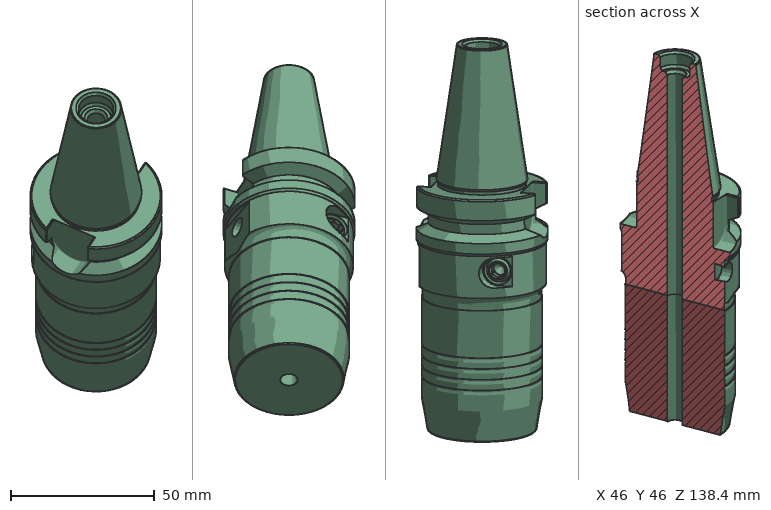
import cadquery as cq
import math

total_height = 138.4

gauge_z = 90.0
gauge_radius = 15.9
taper_slope = 7 / 48
taper_edge_chamfer = 0.3
neck_radius = 15.5
neck_top_z = 89.1

flange_radius = 23.0
flange_top_z = 88.0
flange_edge_chamfer = 0.5
flange_bottom_z = 67.7
lower_chamfer_height = 1.0
groove_mid_z = 76.5
groove_core_radius = 19.0
groove_core_height = 3.6
groove_flank_angle = 30.0
groove_flank_height = (flange_radius - groove_core_radius) * math.tan(math.radians(groove_flank_angle))

body_radius = 22.4
body_bottom_z = 52.6
collar_radius = 20.8
fillet_bottom_z = 50.0
sleeve_top_z = 47.7

through_radius = 3.0
mouth_radius = 6.9
mouth_depth = 0.8
counterbore_radius = 6.1
counterbore_depth = 4.8
seat_radius = 5.3
seat_depth = 5.8
inlet_radius = 4.0
inlet_depth = 6.9

slot_half_width = 8.0
slot_floor_y = 16.2
slot_bottom_z = 70.5
slot_floor_fillet = 0.4
slot_edge_chamfer = 0.4

key_z = 61.6
key_y = -10.0
pocket_radius = 5.4
pocket_floor_x = -16.5
screw_radius = 4.3
screw_length = 11.1
screw_chamfer = 1.0
seat_entry_radius = 5.0
hex_flats = 4.7
hex_turn = 30.0
hex_depth = 3.5
hex_mouth_radius = 3.0
flat_angle = 96.0
flat_distance = collar_radius
flat_top_z = 67.0
flat_hole_radius = 3.5
flat_hole_depth = 4.2

sleeve_radius = 21.0
nose_top_z = 11.6
nose_radius = 19.1
nose_edge_chamfer = 0.4
grip_count = 4
grip_pitch = 3.9
grip_top_z = 30.7
grip_floor_height = 0.7
grip_height = 1.7
grip_depth = 0.3


def revolve_profile(profile):
    """Turn a closed (radius, height) outline around the Z axis."""
    return profile.close().revolve(360, (0, 0, 0), (0, 1, 0))


def holder_blank():
    """Taper, neck, V-grooved flange and body as one turned blank."""
    taper_end_radius = gauge_radius - taper_slope * (total_height - gauge_z)
    upper_core_z = groove_mid_z + groove_core_height / 2
    lower_core_z = groove_mid_z - groove_core_height / 2
    fillet_width = body_radius - collar_radius
    fillet_height = body_bottom_z - fillet_bottom_z
    fillet_radius = (fillet_width**2 + fillet_height**2) / (2 * fillet_width)
    half_sweep = math.asin(fillet_height / fillet_radius) / 2
    fillet_mid = (
        collar_radius + fillet_radius * (1 - math.cos(half_sweep)),
        fillet_bottom_z + fillet_radius * math.sin(half_sweep),
    )
    profile = (
        cq.Workplane("XZ")
        .moveTo(0, sleeve_top_z)
        .lineTo(collar_radius, sleeve_top_z)
        .lineTo(collar_radius, fillet_bottom_z)
        .threePointArc(fillet_mid, (body_radius, body_bottom_z))
        .lineTo(body_radius, flange_bottom_z)
        .lineTo(flange_radius, flange_bottom_z + lower_chamfer_height)
        .lineTo(flange_radius, lower_core_z - groove_flank_height)
        .lineTo(groove_core_radius, lower_core_z)
        .lineTo(groove_core_radius, upper_core_z)
        .lineTo(flange_radius, upper_core_z + groove_flank_height)
        .lineTo(flange_radius, flange_top_z - flange_edge_chamfer)
        .lineTo(flange_radius - flange_edge_chamfer, flange_top_z)
        .lineTo(neck_radius, flange_top_z)
        .lineTo(neck_radius, neck_top_z)
        .lineTo(gauge_radius, gauge_z)
        .lineTo(taper_end_radius, total_height - taper_edge_chamfer)
        .lineTo(taper_end_radius - taper_edge_chamfer, total_height)
        .lineTo(0, total_height)
    )
    return revolve_profile(profile)


def axial_bore():
    """Stepped bore, open from the taper end down through the holder."""
    profile = (
        cq.Workplane("XZ")
        .moveTo(0, sleeve_top_z)
        .lineTo(through_radius, sleeve_top_z)
        .lineTo(through_radius, total_height - inlet_depth)
        .lineTo(inlet_radius, total_height - seat_depth)
        .lineTo(seat_radius, total_height - seat_depth)
        .lineTo(counterbore_radius, total_height - counterbore_depth)
        .lineTo(counterbore_radius, total_height - mouth_depth)
        .lineTo(mouth_radius, total_height)
        .lineTo(0, total_height)
    )
    return revolve_profile(profile)


def drive_slot():
    """U-shaped slot on the -Y side, rounded along the edge of its flat floor."""
    arc_z = slot_bottom_z + slot_half_width
    slot_top_z = flange_top_z + 2 * slot_floor_fillet
    return (
        cq.Workplane("XZ", origin=(0, -slot_floor_y, 0))
        .moveTo(-slot_half_width, slot_top_z)
        .lineTo(-slot_half_width, arc_z)
        .threePointArc((0, slot_bottom_z), (slot_half_width, arc_z))
        .lineTo(slot_half_width, slot_top_z)
        .close()
        .extrude(flange_radius)
        .edges(">Y and (not >Z)")
        .fillet(slot_floor_fillet)
    )


def slot_edge_bevel():
    """Wedge that bevels the top edges of a drive slot on the -Y side."""
    top_half_width = slot_half_width + slot_edge_chamfer
    return (
        cq.Workplane("XZ", origin=(0, -slot_floor_y, 0))
        .moveTo(-slot_half_width, flange_top_z - slot_edge_chamfer)
        .lineTo(-top_half_width, flange_top_z)
        .lineTo(top_half_width, flange_top_z)
        .lineTo(slot_half_width, flange_top_z - slot_edge_chamfer)
        .close()
        .extrude(flange_radius)
    )


def slot_corner_bevel():
    """Wedge that bevels the upright rim corners of a drive slot on the -Y side."""
    rim_half_width = slot_half_width + slot_edge_chamfer
    rim_y = -math.sqrt(flange_radius**2 - rim_half_width**2)
    return (
        cq.Workplane("XY", origin=(0, 0, groove_mid_z))
        .moveTo(-slot_half_width, rim_y + slot_edge_chamfer)
        .lineTo(-rim_half_width, rim_y)
        .lineTo(-rim_half_width, -flange_radius)
        .lineTo(rim_half_width, -flange_radius)
        .lineTo(rim_half_width, rim_y)
        .lineTo(slot_half_width, rim_y + slot_edge_chamfer)
        .close()
        .extrude(flange_top_z - groove_mid_z)
    )


def key_pocket():
    """Pocket from the -X side with a round inner end, open toward -Y."""
    depth = body_radius + pocket_floor_x
    plane = cq.Workplane("YZ", origin=(-body_radius, 0, 0))
    round_end = plane.center(key_y, key_z).circle(pocket_radius).extrude(depth)
    open_end = (
        plane.center(key_y - pocket_radius, key_z)
        .rect(2 * pocket_radius, 2 * pocket_radius)
        .extrude(depth)
    )
    return round_end.union(open_end)


def key_axis_turning(points):
    """Turn a closed outline of (X, radius) points around the key axis."""
    return (
        cq.Workplane("XY", origin=(0, key_y, key_z))
        .polyline(points)
        .close()
        .revolve(360, (0, 0, 0), (1, 0, 0))
    )


def screw_bore():
    """Blind bore for the key screw with a tapered mouth in the pocket floor."""
    mouth_end_x = pocket_floor_x + screw_chamfer
    end_x = pocket_floor_x + screw_length
    return key_axis_turning([
        (pocket_floor_x, 0),
        (pocket_floor_x, seat_entry_radius),
        (mouth_end_x, screw_radius),
        (end_x, screw_radius),
        (end_x, 0),
    ])


def balancing_flat():
    """Flat on the body with a blind radial hole at the key height."""
    height = flat_top_z - fillet_bottom_z
    depth = body_radius - flat_distance
    slab = (
        cq.Workplane("XY", origin=(0, 0, fillet_bottom_z))
        .center(flat_distance + depth / 2, 0)
        .rect(depth, 2 * body_radius)
        .extrude(height)
    )
    hole = (
        cq.Workplane("YZ", origin=(flat_distance - flat_hole_depth, 0, key_z))
        .circle(flat_hole_radius)
        .extrude(flat_hole_depth)
    )
    return slab.union(hole).rotate((0, 0, 0), (0, 0, 1), flat_angle)


def make_holder():
    holder = holder_blank().cut(axial_bore())
    for angle in (0, 180):
        for cutter in (drive_slot(), slot_edge_bevel(), slot_corner_bevel()):
            holder = holder.cut(cutter.rotate((0, 0, 0), (0, 0, 1), angle))
    return holder.cut(key_pocket()).cut(screw_bore()).cut(balancing_flat())


def make_key_screw():
    """Chamfered screw with a countersunk hex socket, filling the screw bore."""
    end_x = pocket_floor_x + screw_length
    shank = key_axis_turning([
        (pocket_floor_x, 0),
        (pocket_floor_x, screw_radius - screw_chamfer),
        (pocket_floor_x + screw_chamfer, screw_radius),
        (end_x, screw_radius),
        (end_x, 0),
    ])
    hex_corner_radius = hex_flats / math.sqrt(3)
    socket = (
        cq.Workplane("YZ", origin=(pocket_floor_x, key_y, key_z))
        .polygon(6, 2 * hex_corner_radius)
        .extrude(hex_depth)
        .rotate((0, key_y, key_z), (1, key_y, key_z), hex_turn)
    )
    countersink = key_axis_turning([
        (pocket_floor_x, 0),
        (pocket_floor_x, hex_mouth_radius),
        (pocket_floor_x + hex_mouth_radius, 0),
    ])
    drill_point = key_axis_turning([
        (pocket_floor_x + hex_depth, 0),
        (pocket_floor_x + hex_depth, hex_flats / 2),
        (pocket_floor_x + hex_depth + hex_flats / 2, 0),
    ])
    return shank.cut(socket).cut(countersink).cut(drill_point)


def grip_groove(top_z):
    """Ring groove with a square upper shoulder and a sloping lower side."""
    floor_radius = sleeve_radius - grip_depth
    profile = (
        cq.Workplane("XZ")
        .moveTo(sleeve_radius, top_z)
        .lineTo(floor_radius, top_z)
        .lineTo(floor_radius, top_z - grip_floor_height)
        .lineTo(sleeve_radius, top_z - grip_height)
    )
    return revolve_profile(profile)


def make_sleeve():
    """Gripping sleeve with a tapered nose, butted against the holder."""
    profile = (
        cq.Workplane("XZ")
        .moveTo(through_radius, 0)
        .lineTo(nose_radius - nose_edge_chamfer, 0)
        .lineTo(nose_radius, nose_edge_chamfer)
        .lineTo(sleeve_radius, nose_top_z)
        .lineTo(sleeve_radius, sleeve_top_z)
        .lineTo(through_radius, sleeve_top_z)
    )
    sleeve = revolve_profile(profile)
    for index in range(grip_count):
        sleeve = sleeve.cut(grip_groove(grip_top_z - index * grip_pitch))
    return sleeve


holder = make_holder()
key_screw = make_key_screw()
sleeve = make_sleeve()

result = cq.Compound.makeCompound([holder.val(), key_screw.val(), sleeve.val()])